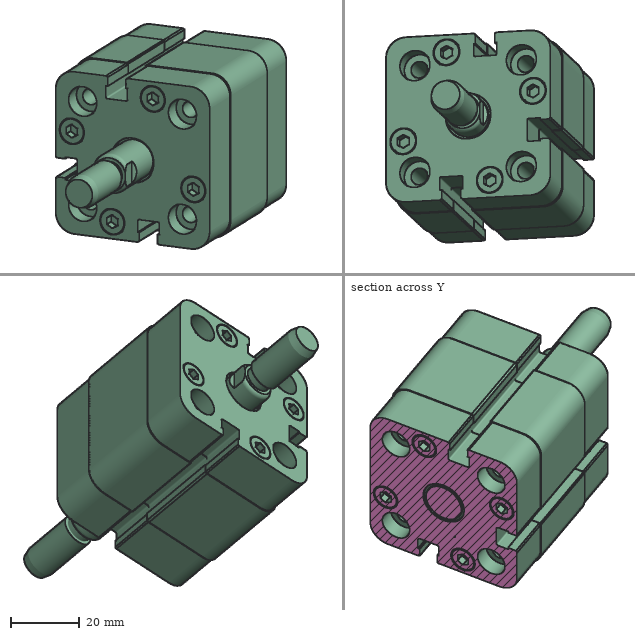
import cadquery as cq
import math


body_front = -22.3
body_back = 32.2
cap_length = 14.3
barrel_size = 50.1
cap_size = 49.5
corner_radius = 6.0

slot_wide_left, slot_wide_right = -8.5, -1.7
slot_lip_z = 21.7
slot_floor_radius = 0.5
lip_bevel_height = 0.4
cap_mouth = (-8.5, -1.7)
cap_lips = (-8.0, -2.2)
cap_slot_floor_z = 17.8
barrel_mouth = (-8.2, -1.7)
barrel_lips = (-7.8, -2.4)
barrel_slot_floor_z = 18.0
slot_angles = (0, -90, 180)

mount_offset = 16.0
mount_hole_diameter = 5.0
mount_bore_diameter = 9.0
mount_bore_depth = 5.5

screw_x, screw_z = 6.5, 19.5
screw_head_diameter = 7.5
screw_recess_diameter = 8.0
screw_recess_depth = 4.0
socket_across_flats = 3.5
socket_depth = 3.0

rod_diameter = 12.0
rod_bore_diameter = 13.6
rod_bore_depth = 1.2
rod_half_length = 38.4
rod_round_length = 1.5
rod_round_drop = 1.0
neck_diameter = 8.0
neck_end = 41.2
neck_fillet = 0.2
thread_diameter = 10.0
tip_diameter = 8.5
tip_length = 2.7
overall_length = 120.5

flats_width = 10.0
flats_start = 33.7


def along_y(start, end):
    """XZ workplane at `end` and the length that extrudes it back to `start`."""
    return cq.Workplane("XZ", origin=(0, end, 0)), end - start


def square_block(size, start, end):
    plane, length = along_y(start, end)
    return plane.rect(size, size).extrude(length).edges("|Y").fillet(corner_radius)


def slot_cutter(size, mouth, lips, floor_z, start, end):
    """T-shaped slot in the top face of a block, with bevelled lips."""
    plane, length = along_y(start, end)
    face_z = size / 2
    throat = (
        plane.moveTo(lips[0], floor_z + slot_floor_radius)
        .lineTo(lips[0], face_z - lip_bevel_height)
        .lineTo(mouth[0], face_z)
        .lineTo(mouth[1], face_z)
        .lineTo(lips[1], face_z - lip_bevel_height)
        .lineTo(lips[1], floor_z + slot_floor_radius)
        .close()
        .extrude(length)
    )
    width = slot_wide_right - slot_wide_left
    height = slot_lip_z - floor_z
    chamber = (
        plane.center((slot_wide_left + slot_wide_right) / 2, floor_z + height / 2)
        .rect(width, height)
        .extrude(length)
        .edges("|Y and <Z")
        .fillet(slot_floor_radius)
    )
    return throat.union(chamber)


def slotted_block(size, mouth, lips, floor_z, start, end):
    block = square_block(size, start, end)
    cutter = slot_cutter(size, mouth, lips, floor_z, start, end)
    for angle in slot_angles:
        block = block.cut(cutter.rotate((0, 0, 0), (0, 1, 0), angle))
    return block


def cylinders(points, diameter, start, end):
    plane, length = along_y(start, end)
    return plane.pushPoints(points).circle(diameter / 2).extrude(length)


def make_body():
    barrel_front = body_front + cap_length
    barrel_back = body_back - cap_length
    body = slotted_block(
        barrel_size, barrel_mouth, barrel_lips, barrel_slot_floor_z, barrel_front, barrel_back
    )
    for start, end in ((body_front, barrel_front), (barrel_back, body_back)):
        cap = slotted_block(cap_size, cap_mouth, cap_lips, cap_slot_floor_z, start, end)
        body = body.union(cap)
    return body


def end_span(face, depth):
    """Y range reaching `depth` into the body from one of its end faces."""
    if face == body_front:
        return face, face + depth
    return face - depth, face


def cut_end_details(body):
    mounts = [(x, z) for x in (-mount_offset, mount_offset) for z in (-mount_offset, mount_offset)]
    screws = [
        (screw_x, screw_z),
        (screw_z, -screw_x),
        (-screw_x, -screw_z),
        (-screw_z, screw_x),
    ]
    body = body.cut(cylinders(mounts, mount_hole_diameter, body_front, body_back))
    socket_corners = socket_across_flats / math.cos(math.pi / 6)

    for face in (body_front, body_back):
        body = body.cut(cylinders(mounts, mount_bore_diameter, *end_span(face, mount_bore_depth)))
        body = body.cut(cylinders([(0, 0)], rod_bore_diameter, *end_span(face, rod_bore_depth)))

        recess = end_span(face, screw_recess_depth)
        gap = cylinders(screws, screw_recess_diameter, *recess)
        gap = gap.cut(cylinders(screws, screw_head_diameter, *recess))
        body = body.cut(gap)

        plane, length = along_y(*end_span(face, socket_depth))
        for x, z in screws:
            socket = plane.center(x, z).transformed(rotate=(0, 0, 30))
            body = body.cut(socket.polygon(6, socket_corners).extrude(length))
    return body


def make_half_rod():
    """Half of the rod on the +Y side, with wrench flats, neck and threaded end."""
    rod_radius = rod_diameter / 2
    neck_radius = neck_diameter / 2
    thread_radius = thread_diameter / 2
    tip_end = overall_length / 2
    round_radius = (rod_round_length**2 + rod_round_drop**2) / (2 * rod_round_drop)
    shaft = (
        cq.Workplane("XY")
        .lineTo(rod_radius, 0)
        .lineTo(rod_radius, rod_half_length - rod_round_length)
        .radiusArc((rod_radius - rod_round_drop, rod_half_length), -round_radius)
        .lineTo(neck_radius, rod_half_length)
        .lineTo(neck_radius, neck_end - neck_fillet)
        .radiusArc((neck_radius + neck_fillet, neck_end), neck_fillet)
        .lineTo(thread_radius, neck_end)
        .lineTo(thread_radius, tip_end - tip_length)
        .lineTo(tip_diameter / 2, tip_end)
        .lineTo(0, tip_end)
        .close()
        .revolve(360, (0, 0, 0), (0, 1, 0))
    )
    flat_x = flats_width / 2
    flat_depth = rod_radius - flat_x
    flat = (
        cq.Workplane("XY")
        .moveTo(flat_x, flats_start)
        .lineTo(flat_x, rod_half_length)
        .lineTo(rod_radius, rod_half_length)
        .lineTo(rod_radius, flats_start - flat_depth)
        .close()
        .extrude(rod_radius, both=True)
    )
    return shaft.cut(flat).cut(flat.mirror("YZ"))


def make_rod():
    half = make_half_rod()
    return half.union(half.mirror("XZ"))


result = cut_end_details(make_body()).union(make_rod())